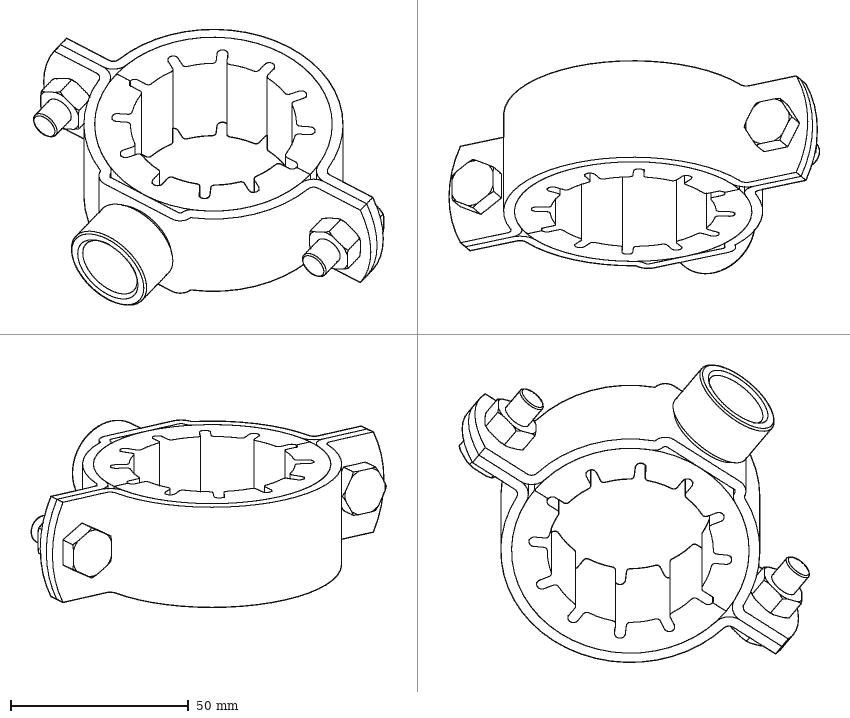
import cadquery as cq
import math


overall_length = 113.0
clamp_height = 30.0
ring_outer_radius = 36.5
strip_thickness = 3.0
ring_inner_radius = ring_outer_radius - strip_thickness
ear_bend_radius = 2.0
ear_end_radius = 32.8
pad_half_width = 11.5
pad_bend_radius = 1.0
step_bend_radius = 0.3

notch_count = 12
lining_inner_radius = 23.4
notch_width = 3.0
notch_floor_radius = 28.7
notch_mouth_fillet = 1.1

socket_radius = 13.0
socket_end_y = -51.4
socket_base_chamfer = 1.6
socket_rim_chamfer = 0.6
socket_bore_radius = 9.4
socket_bore_chamfer = 1.0
socket_length = -socket_end_y - ring_outer_radius

bolt_x = 46.4
shank_radius = 4.1
shank_end_y = -16.8
shank_end_chamfer = 0.5
hex_across_flats = 13.0
head_height = 5.3
nut_height = 6.4
hex_corner_bevel = 0.7
hex_bevel_angle = 30
upright_turn = 30
hex_corner_radius = hex_across_flats / math.sqrt(3)


def polar(radius, angle, center=(0, 0)):
    """Point at a radius and an angle in degrees around a center."""
    turn = math.radians(angle)
    return (center[0] + radius * math.cos(turn), center[1] + radius * math.sin(turn))


def arc(outline, center, radius, start_angle, end_angle):
    """Continue an outline, already at the arc's start, along an arc."""
    middle = polar(radius, (start_angle + end_angle) / 2, center)
    return outline.threePointArc(middle, polar(radius, end_angle, center))


def extrude_height(outline):
    """Solid of the full clamp height, centered on Z = 0."""
    return outline.extrude(clamp_height / 2, both=True)


def mirror_half(half):
    """Join a right-hand half with its mirror image across X = 0."""
    return half.union(half.mirror("YZ")).clean()


def ear_and_ring(ring_end_angle):
    """Right-hand ear above Y = 0, its bend, and the ring up to the given angle."""
    ear_end = overall_length / 2
    bend_y = strip_thickness + ear_bend_radius
    bend_x = math.sqrt((ring_outer_radius + ear_bend_radius) ** 2 - bend_y ** 2)
    bend = (bend_x, bend_y)
    ring_start = math.degrees(math.atan2(bend_y, bend_x))
    wide_radius = ear_bend_radius + strip_thickness

    outline = cq.Workplane("XY").moveTo(ear_end, 0).lineTo(bend_x, 0)
    outline = arc(outline, bend, wide_radius, 270, 180 + ring_start)
    outline = arc(outline, (0, 0), ring_inner_radius, ring_start, ring_end_angle)
    outline = outline.lineTo(*polar(ring_outer_radius, ring_end_angle))
    outline = arc(outline, (0, 0), ring_outer_radius, ring_end_angle, ring_start)
    outline = arc(outline, bend, ear_bend_radius, 180 + ring_start, 270)
    outline = outline.lineTo(ear_end, strip_thickness).close()

    ear_rounding = (
        cq.Workplane("XZ")
        .center(ear_end - ear_end_radius, 0)
        .circle(ear_end_radius)
        .extrude(overall_length, both=True)
    )
    bolt_hole = (
        cq.Workplane("XZ")
        .center(bolt_x, 0)
        .circle(shank_radius)
        .extrude(overall_length, both=True)
    )
    return extrude_height(outline).intersect(ear_rounding).cut(bolt_hole)


def make_upper_clamp():
    """Upper half: a plain half ring between the ears."""
    return mirror_half(ear_and_ring(90))


def make_lower_clamp():
    """Lower half: the ring steps outward through two opposite bends to a flat pad."""
    pad_wide_radius = pad_bend_radius + strip_thickness
    step_wide_radius = step_bend_radius + strip_thickness
    pad_bend = (pad_half_width, -(ring_inner_radius - pad_bend_radius))

    step_distance = ring_outer_radius + step_bend_radius
    pad_distance = math.hypot(*pad_bend)
    bend_spacing = pad_wide_radius + step_bend_radius
    turn_cosine = (step_distance ** 2 + pad_distance ** 2 - bend_spacing ** 2) / (
        2 * step_distance * pad_distance
    )
    pad_bend_angle = math.degrees(math.atan2(pad_bend[1], pad_bend[0]))
    step_angle = pad_bend_angle + math.degrees(math.acos(turn_cosine))
    step_bend = polar(step_distance, step_angle)
    link_angle = math.degrees(math.atan2(step_bend[1] - pad_bend[1], step_bend[0] - pad_bend[0]))

    outline = cq.Workplane("XY").moveTo(0, -ring_inner_radius).lineTo(pad_half_width, -ring_inner_radius)
    outline = arc(outline, pad_bend, pad_bend_radius, -90, link_angle)
    outline = arc(outline, step_bend, step_wide_radius, 180 + link_angle, 180 + step_angle)
    outline = outline.lineTo(*polar(ring_outer_radius, step_angle))
    outline = arc(outline, step_bend, step_bend_radius, 180 + step_angle, 180 + link_angle)
    outline = arc(outline, pad_bend, pad_wide_radius, link_angle, -90)
    outline = outline.lineTo(0, -ring_outer_radius).close()

    ear = ear_and_ring(-step_angle).mirror("XZ")
    return mirror_half(ear.union(extrude_height(outline)))


def make_lining_halves():
    """Notched sleeve inside the ring, split on Y = 0 into an upper and a lower half."""
    bore = extrude_height(cq.Workplane("XY").circle(lining_inner_radius))
    slot_start = lining_inner_radius - notch_width
    slot_length = notch_floor_radius - slot_start
    for index in range(notch_count):
        slot = extrude_height(
            cq.Workplane("XY")
            .center(slot_start + slot_length / 2, 0)
            .slot2D(slot_length, notch_width)
        )
        bore = bore.union(slot.rotate((0, 0, 0), (0, 0, 1), index * 360 / notch_count))

    mouth_limit = lining_inner_radius + notch_mouth_fillet / 2
    mouth_edges = bore.edges("|Z").filter(
        lambda edge: math.hypot(edge.Center().x, edge.Center().y) < mouth_limit
    )
    bore = mouth_edges.fillet(notch_mouth_fillet)
    sleeve = extrude_height(cq.Workplane("XY").circle(ring_inner_radius)).cut(bore)

    upper_space = cq.Workplane("XY").box(
        overall_length, overall_length, clamp_height, centered=(True, False, True)
    )
    return sleeve.intersect(upper_space), sleeve.cut(upper_space)


def make_socket():
    """Plain tube standing on the pad, with its bore ending at the pad face."""
    blank = (
        cq.Workplane("XZ", origin=(0, -ring_outer_radius, 0))
        .circle(socket_radius)
        .extrude(socket_length)
    )
    blank = blank.faces(">Y").chamfer(socket_base_chamfer)
    blank = blank.faces("<Y").chamfer(socket_rim_chamfer)
    bored = blank.faces("<Y").workplane().hole(2 * socket_bore_radius)
    bore_edge = bored.faces("<Y").edges(cq.selectors.RadiusNthSelector(0))
    return bore_edge.chamfer(socket_bore_chamfer)


def hexagon(height, start_y, corner_turn, bevel_both_ends):
    """Hexagonal prism along Y, from start_y upward, with beveled corners."""
    bevel_height = hex_corner_bevel * math.tan(math.radians(hex_bevel_angle))
    bevel_radius = hex_corner_radius - hex_corner_bevel
    top = start_y + height
    outline = cq.Workplane("XY").moveTo(0, start_y)
    if bevel_both_ends:
        outline = outline.lineTo(bevel_radius, start_y)
        outline = outline.lineTo(hex_corner_radius, start_y + bevel_height)
    else:
        outline = outline.lineTo(hex_corner_radius, start_y)
    outline = (
        outline.lineTo(hex_corner_radius, top - bevel_height)
        .lineTo(bevel_radius, top)
        .lineTo(0, top)
        .close()
    )
    beveled_disc = outline.revolve(360, (0, 0), (0, 1))
    prism = (
        cq.Workplane("XZ", origin=(0, top, 0))
        .polygon(6, 2 * hex_corner_radius)
        .extrude(height)
        .rotate((0, 0, 0), (0, 1, 0), corner_turn)
    )
    return prism.intersect(beveled_disc)


def make_bolt(x, head_turn):
    """Bolt with its head on the upper ear and its shank pointing to -Y."""
    shank = (
        cq.Workplane("XZ", origin=(0, strip_thickness, 0))
        .circle(shank_radius)
        .extrude(strip_thickness - shank_end_y)
        .faces("<Y")
        .chamfer(shank_end_chamfer)
    )
    head = hexagon(head_height, strip_thickness, head_turn, False)
    return shank.union(head).translate((x, 0, 0))


def make_nut(x):
    """Nut under the lower ear, with corners pointing to +Z and -Z."""
    hole = cq.Workplane("XZ").circle(shank_radius).extrude(overall_length, both=True)
    nut = hexagon(nut_height, -strip_thickness - nut_height, upright_turn, True).cut(hole)
    return nut.translate((x, 0, 0))


upper_clamp = make_upper_clamp()
lower_clamp = make_lower_clamp()
upper_lining, lower_lining = make_lining_halves()
socket = make_socket()

bolts = []
nuts = []
for x, head_turn in ((-bolt_x, 0), (bolt_x, upright_turn)):
    bolts.append(make_bolt(x, head_turn).solids().val())
    nuts.append(make_nut(x).solids().val())

result = cq.Compound.makeCompound(
    [
        upper_clamp.solids().val(),
        lower_clamp.solids().val(),
        upper_lining.solids().val(),
        lower_lining.solids().val(),
        socket.solids().val(),
        *bolts,
        *nuts,
    ]
)